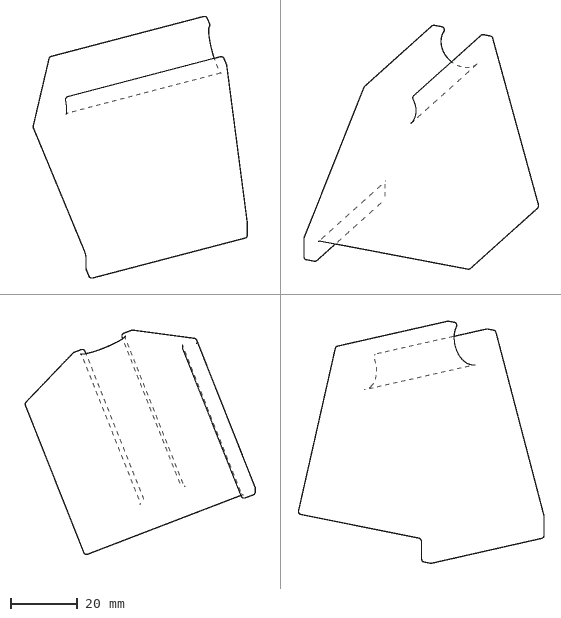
import cadquery as cq

depth = 50.0
foot_drop = 7.0
body_height = 61.0 - foot_drop
edge_radius = 1.0

base_left = 0.0
base_right = 55.5
top_left = 15.7
top_right = 35.5
foot_thickness = 4.5

groove_radius = 7.0
groove_center_x = 25.5
groove_center_drop = 5.0


def wedge_with_foot():
    """Tapered block with a lip hanging from its right-hand base edge."""
    foot_inner = base_right - foot_thickness
    outline = [
        (base_left, 0),
        (foot_inner, 0),
        (foot_inner, -foot_drop),
        (base_right, -foot_drop),
        (base_right, 0),
        (top_right, body_height),
        (top_left, body_height),
    ]
    return cq.Workplane("XZ").polyline(outline).close().extrude(depth / 2, both=True)


def cradle_groove():
    """Cylinder that breaks through the top of the block."""
    return (
        cq.Workplane("XZ")
        .center(groove_center_x, body_height - groove_center_drop)
        .circle(groove_radius)
        .extrude(depth / 2, both=True)
    )


result = wedge_with_foot().cut(cradle_groove()).edges().fillet(edge_radius)